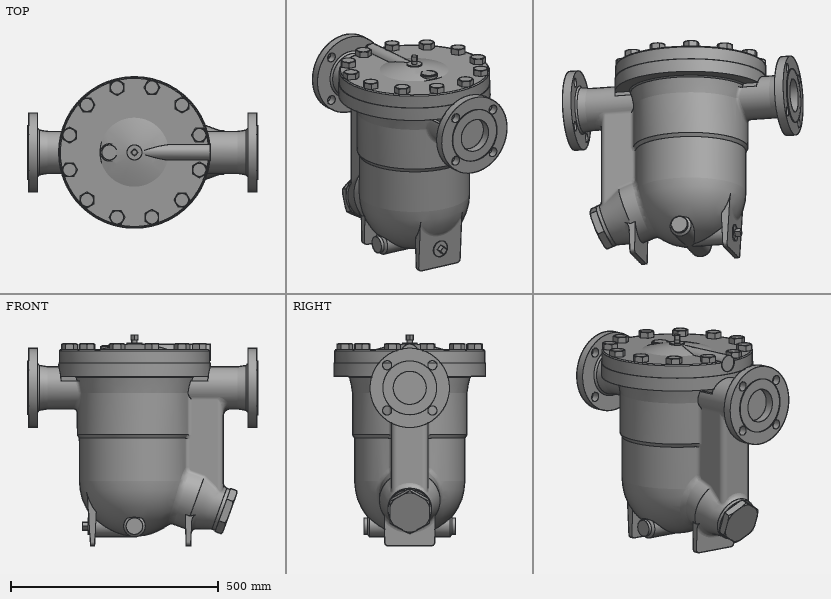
import cadquery as cq
import math


FLANGE_R = 182.55
FLANGE_BOTTOM = 27.5
JOINT_Z = 59.5
NECK_TOP_R = 145.0
NECK_RELIEF = 3.5
UPPER_R = 138.0
NECK_BOTTOM_Z = -13.0
STEP_TOP_Z = -112.5
STEP_BOTTOM_Z = -121.5
LOWER_R = 133.0
DOME_Z = -224.5

COVER_R = 181.0
COVER_TOP = 92.0
COVER_CHAMFER = 3.0
LENS_R = 83.0
LENS_HEIGHT = 14.0
TUBE_R = 20.0
TUBE_AXIS_Z = 85.5

BOLT_COUNT = 12
BOLT_CIRCLE_R = 162.0
BOLT_ACROSS_CORNERS = 38.0
BOLT_HEAD_HEIGHT = 14.5
BOLT_BEVEL = 1.5

BOSS_R = 18.0
BOSS_TOP = 108.0
STEM_R = 6.5
STEM_HEAD_BOTTOM = 116.0
STEM_HEAD_DIAGONAL = 17.0
STEM_TOP = 127.5
COVER_PLUG_X = -60.5
COVER_PLUG_TOP = 102.0
PLUG_BASE_R = 21.0
PLUG_BASE_TOP = 99.0

INLET_X = -257.0
OUTLET_X = 297.0
PIPE_R = 51.0
HUB_R = 54.5
HUB_LENGTH = 20.0
HUB_FILLET = 4.5
PIPE_FLANGE_R = 95.55
PIPE_FLANGE_THICKNESS = 24.0
RAISED_FACE_R = 65.0
RAISED_FACE_HEIGHT = 2.0
BORE_R = 40.0
BORE_DEPTH = 22.0
FLANGE_HOLE_D = 22.0
FLANGE_HOLE_CIRCLE_R = 77.0
INLET_BLEND_R = 8.5
OUTLET_BLEND_R = 16.5
NUT_RELIEF_Z = 16.0
NUT_RELIEF_Y = 39.0

RIB_HALF_WIDTH = 44.5
RIB_END_X = 214.1
RIB_EDGE_R = 14.0
RIB_BOTTOM = -277.0
RIB_BLEND_R = 11.0

BRANCH_TILT = 20.0
BRANCH_END_X = 230.0
BRANCH_END_Z = -300.0
BRANCH_R = 73.0
BRANCH_NECK_R = 52.5
BRANCH_INNER_S = -166.0
CONE_START_S = -87.5
CONE_END_S = -27.0
CAP_THICKNESS = 18.5
CAP_ACROSS_CORNERS = 111.0
CAP_BEVEL = 3.0
BRANCH_BLEND_R = 16.5

FOOT_BOTTOM = -380.5
FOOT_TOP = -255.0
FOOT_WIDTH = 121.5
FOOT_CORNER_R = 9.0
FOOT_BLEND_R = 11.0
LEFT_FOOT_TOP_X = (-113.5, -90.0)
LEFT_FOOT_BOTTOM_X = (-106.0, -96.0)
RIGHT_FOOT_TOP_X = (121.5, 139.5)
RIGHT_FOOT_BOTTOM_X = (124.0, 136.0)

DRAIN_Z = -333.0
DRAIN_BOSS_R = 26.0
DRAIN_PLUG_R = 20.0
DRAIN_BOSS_LENGTH = 96.5
DRAIN_CONE_END = 102.0
DRAIN_PLUG_END = 110.0
FOOT_PLUG_PAD_X = -111.5
FOOT_PLUG_END_X = -125.0
FOOT_PLUG_DIAGONAL = 20.0

SKIN_TOLERANCE = 0.05
SKIN_CHECK_FRACTIONS = (0.3, 0.6)
EDGE_MARGIN = 0.5


def revolve_z(points):
    """Solid of revolution about Z from (radius, z) points."""
    return cq.Workplane("XZ").polyline(points).close().revolve(360, (0, 0, 0), (0, 1, 0))


def cylinder(radius, z0, z1):
    return cq.Workplane("XY").workplane(offset=z0).circle(radius).extrude(z1 - z0)


def hex_head(across_corners, height, bevel):
    """Hexagon on Z = 0 with its upper corners turned off by a shallow cone."""
    turned = cylinder(across_corners / 2, 0, height).faces(">Z").chamfer(bevel, 2 * bevel)
    return cq.Workplane("XY").polygon(6, across_corners).extrude(height).intersect(turned)


def edge_on_skin(edge, skin):
    """True when the edge runs along the given skin of faces."""
    return all(
        cq.Vertex.makeVertex(*edge.positionAt(fraction).toTuple()).distance(skin) < SKIN_TOLERANCE
        for fraction in SKIN_CHECK_FRACTIONS
    )


def blend(first, second, radius, wanted):
    """Join two solids and round the wanted edges where their skins meet."""
    skins = [cq.Compound.makeCompound(part.val().Faces()) for part in (first, second)]
    joined = first.union(second)
    seam = [
        edge
        for edge in joined.edges().vals()
        if wanted(edge.BoundingBox()) and all(edge_on_skin(edge, skin) for skin in skins)
    ]
    return joined.newObject(seam).fillet(radius)


def make_vessel():
    return (
        cq.Workplane("XZ")
        .moveTo(0, JOINT_Z)
        .lineTo(FLANGE_R, JOINT_Z)
        .lineTo(FLANGE_R, FLANGE_BOTTOM)
        .lineTo(NECK_TOP_R + NECK_RELIEF, FLANGE_BOTTOM)
        .lineTo(NECK_TOP_R, FLANGE_BOTTOM - NECK_RELIEF)
        .lineTo(UPPER_R, NECK_BOTTOM_Z)
        .lineTo(UPPER_R, STEP_TOP_Z)
        .lineTo(LOWER_R, STEP_BOTTOM_Z)
        .lineTo(LOWER_R, DOME_Z)
        .radiusArc((0, DOME_Z - LOWER_R), LOWER_R)
        .close()
        .revolve(360, (0, 0, 0), (0, 1, 0))
    )


def make_pipe(end_x):
    """Pipe from the vessel axis, relieved on both sides for the nuts below the vessel flange."""
    core = cq.Workplane("YZ").circle(PIPE_R).extrude(end_x)
    reliefs = (
        cylinder(FLANGE_R, NUT_RELIEF_Z, FLANGE_BOTTOM)
        .cut(cq.Workplane("XY").box(2 * FLANGE_R, 2 * NUT_RELIEF_Y, 2 * PIPE_R))
    )
    return core.cut(reliefs)


def make_pipe_end():
    """Flange with hub along +Z, its raised face at z = 0."""
    back = -PIPE_FLANGE_THICKNESS
    hub_start = back - HUB_FILLET
    end = revolve_z([
        (0, 0),
        (RAISED_FACE_R, 0),
        (RAISED_FACE_R, -RAISED_FACE_HEIGHT),
        (PIPE_FLANGE_R, -RAISED_FACE_HEIGHT),
        (PIPE_FLANGE_R, back),
        (HUB_R + HUB_FILLET, back),
        (HUB_R, hub_start),
        (PIPE_R, hub_start - HUB_LENGTH),
        (0, hub_start - HUB_LENGTH),
    ])
    holes = (
        cq.Workplane("XY")
        .polarArray(FLANGE_HOLE_CIRCLE_R, 45, 360, 4)
        .circle(FLANGE_HOLE_D / 2)
        .extrude(-PIPE_FLANGE_THICKNESS)
    )
    return end.cut(holes)


def make_rib():
    return (
        cq.Workplane("XY")
        .workplane(offset=RIB_BOTTOM)
        .center(RIB_END_X / 2, 0)
        .rect(RIB_END_X, 2 * RIB_HALF_WIDTH)
        .extrude(-RIB_BOTTOM)
        .edges("|Z and >X")
        .fillet(RIB_EDGE_R)
    )


def make_branch():
    neck = revolve_z([
        (0, BRANCH_INNER_S),
        (BRANCH_R, BRANCH_INNER_S),
        (BRANCH_R, CONE_START_S),
        (BRANCH_NECK_R, CONE_END_S),
        (BRANCH_NECK_R, -CAP_THICKNESS),
        (0, -CAP_THICKNESS),
    ])
    cap = hex_head(CAP_ACROSS_CORNERS, CAP_THICKNESS, CAP_BEVEL).translate((0, 0, -CAP_THICKNESS))
    return (
        neck.union(cap)
        .rotate((0, 0, 0), (0, 1, 0), 90 + BRANCH_TILT)
        .translate((BRANCH_END_X, 0, BRANCH_END_Z))
    )


def make_foot(top_x, bottom_x):
    return (
        cq.Workplane("XZ")
        .polyline([
            (top_x[0], FOOT_TOP),
            (top_x[1], FOOT_TOP),
            (bottom_x[1], FOOT_BOTTOM),
            (bottom_x[0], FOOT_BOTTOM),
        ])
        .close()
        .extrude(FOOT_WIDTH / 2, both=True)
        .edges("<Z and |X")
        .fillet(FOOT_CORNER_R)
    )


def make_drains():
    cross = revolve_z([
        (0, -DRAIN_PLUG_END),
        (DRAIN_PLUG_R, -DRAIN_PLUG_END),
        (DRAIN_PLUG_R, -DRAIN_CONE_END),
        (DRAIN_BOSS_R, -DRAIN_BOSS_LENGTH),
        (DRAIN_BOSS_R, DRAIN_BOSS_LENGTH),
        (DRAIN_PLUG_R, DRAIN_CONE_END),
        (DRAIN_PLUG_R, DRAIN_PLUG_END),
        (0, DRAIN_PLUG_END),
    ]).rotate((0, 0, 0), (1, 0, 0), 90)
    along = cq.Workplane("YZ").circle(DRAIN_BOSS_R).extrude(LEFT_FOOT_BOTTOM_X[1])
    pad = cq.Workplane("YZ").circle(DRAIN_PLUG_R).extrude(FOOT_PLUG_PAD_X)
    head = cq.Workplane("YZ").polygon(4, FOOT_PLUG_DIAGONAL).extrude(FOOT_PLUG_END_X)
    return cross.union(along).union(pad).union(head).translate((0, 0, DRAIN_Z))


def make_bolts():
    head = hex_head(BOLT_ACROSS_CORNERS, BOLT_HEAD_HEIGHT, BOLT_BEVEL)
    head = head.translate((BOLT_CIRCLE_R, 0, COVER_TOP))
    pitch = 360 / BOLT_COUNT
    head = head.rotate((BOLT_CIRCLE_R, 0, 0), (BOLT_CIRCLE_R, 0, 1), -pitch / 2)
    bolts = cq.Workplane("XY")
    for i in range(BOLT_COUNT):
        bolts = bolts.add(head.rotate((0, 0, 0), (0, 0, 1), (i + 0.5) * pitch))
    return bolts.combine()


def make_cover():
    plate = cylinder(COVER_R, JOINT_Z, COVER_TOP).faces(">Z").edges().chamfer(COVER_CHAMFER)
    lens = (
        cq.Workplane("XZ")
        .moveTo(0, COVER_TOP)
        .lineTo(LENS_R, COVER_TOP)
        .threePointArc(
            (LENS_R / 2, COVER_TOP + lens_rise(LENS_R / 2)),
            (0, COVER_TOP + LENS_HEIGHT),
        )
        .close()
        .revolve(360, (0, 0, 0), (0, 1, 0))
    )
    tube = (
        cq.Workplane("YZ")
        .center(0, TUBE_AXIS_Z)
        .circle(TUBE_R)
        .extrude(FLANGE_R)
        .intersect(cylinder(2 * FLANGE_R, JOINT_Z, STEM_TOP))
    )
    boss = cylinder(BOSS_R, COVER_TOP, BOSS_TOP)
    stem = cylinder(STEM_R, COVER_TOP, STEM_HEAD_BOTTOM)
    stem_head = (
        cq.Workplane("XY")
        .workplane(offset=STEM_HEAD_BOTTOM)
        .polygon(4, STEM_HEAD_DIAGONAL)
        .extrude(STEM_TOP - STEM_HEAD_BOTTOM)
    )
    plug = (
        cylinder(BOSS_R, COVER_TOP, COVER_PLUG_TOP)
        .union(cylinder(PLUG_BASE_R, JOINT_Z, PLUG_BASE_TOP))
        .translate((COVER_PLUG_X, 0, 0))
    )
    cover = plate.union(lens).union(tube).union(boss).union(stem).union(stem_head).union(plug)
    return cover.union(make_bolts())


def lens_rise(radius):
    """Height of the spherical cap above the cover plate at a given radius."""
    sphere_r = (LENS_R**2 + LENS_HEIGHT**2) / (2 * LENS_HEIGHT)
    return math.sqrt(sphere_r**2 - radius**2) - (sphere_r - LENS_HEIGHT)


def add_branch(body):
    return blend(body, make_branch(), BRANCH_BLEND_R, lambda box: True)


def add_rib(body):
    return blend(body, make_rib(), RIB_BLEND_R, lambda box: box.zmin < NUT_RELIEF_Z)


def add_inlet(body):
    """Inlet pipe, rounded into the vessel below the nut reliefs."""
    return blend(body, make_pipe(INLET_X), INLET_BLEND_R, lambda box: box.zmin < NUT_RELIEF_Z - EDGE_MARGIN)


def add_outlet(body):
    """Outlet pipe, rounded into the top and end of the rib."""
    return body.union(blend(make_pipe(OUTLET_X), make_rib(), OUTLET_BLEND_R, lambda box: box.xmax > UPPER_R))


def add_right_foot(body):
    """Foot under the branch, rounded into it on the outer side."""
    foot = make_foot(RIGHT_FOOT_TOP_X, RIGHT_FOOT_BOTTOM_X)
    outer_x = RIGHT_FOOT_BOTTOM_X[1]
    return blend(body, foot, FOOT_BLEND_R, lambda box: box.xmin > outer_x and box.ylen > FOOT_WIDTH / 4)


def add_left_foot(body):
    """Foot under the dome, rounded along the arc where its outer face leaves the dome."""
    foot = make_foot(LEFT_FOOT_TOP_X, LEFT_FOOT_BOTTOM_X)
    arc_bottom_z = DOME_Z - math.sqrt(LOWER_R**2 - LEFT_FOOT_BOTTOM_X[0] ** 2)
    return blend(body, foot, FOOT_BLEND_R, lambda box: box.ylen > FOOT_WIDTH / 4 and box.zmin > arc_bottom_z)


pipe_end = make_pipe_end()
inlet_end = pipe_end.rotate((0, 0, 0), (0, 1, 0), -90).translate((INLET_X, 0, 0))
outlet_end = pipe_end.rotate((0, 0, 0), (0, 1, 0), 90).translate((OUTLET_X, 0, 0))

result = make_vessel().union(make_drains())
for add_feature in (add_branch, add_rib, add_inlet, add_outlet, add_right_foot, add_left_foot):
    result = add_feature(result)
result = result.union(inlet_end).union(outlet_end).union(make_cover())
for face_x, inward in ((INLET_X, 1), (OUTLET_X, -1)):
    bore = cq.Workplane("YZ").workplane(offset=face_x).circle(BORE_R).extrude(inward * BORE_DEPTH)
    result = result.cut(bore)